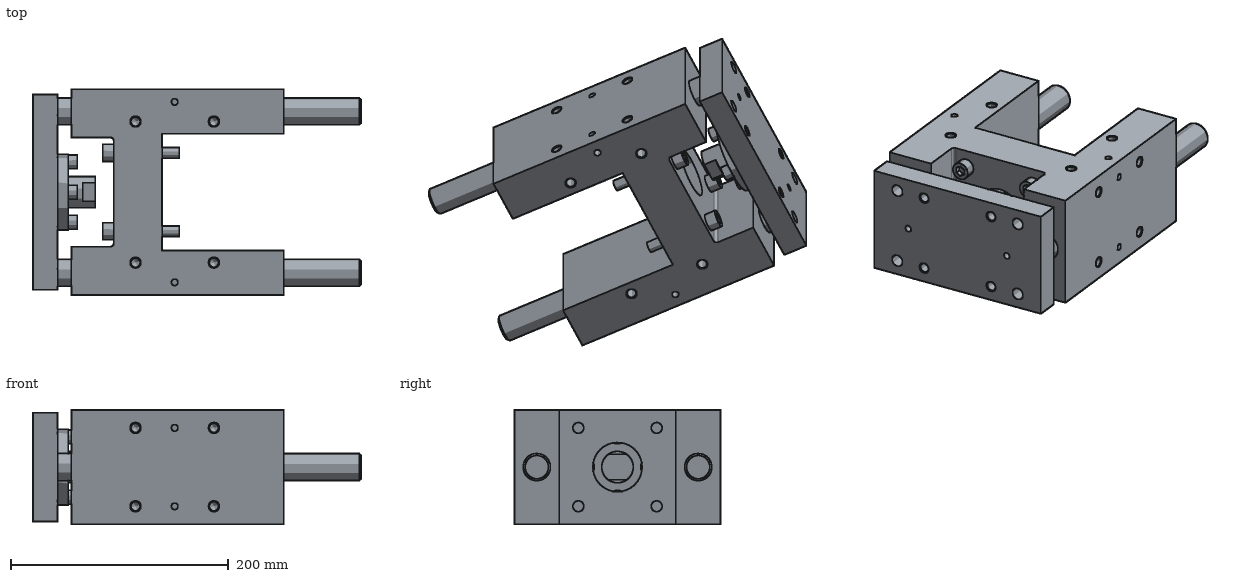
import cadquery as cq
import math


total_length = 301.0
housing_width = 189.0
housing_height = 105.0

housing_start = 35.2
housing_length = 195.0
front_gap_width = 100.0
rear_gap_width = 107.0
web_start = 74.0
web_end = 118.5
gap_fillet = 3.0
web_bore_diameter = 45.0

bolt_pitch = 72.0
tap_diameter = 8.5
tap_mouth_diameter = 10.0
countersink_angle = 90.0
tap_depth = 20.0
drill_tip_angle = 118.0
dowel_diameter = 6.0
dowel_depth = 10.0
dowel_x = 130.0
bolt_offset = bolt_pitch / 2
bolt_columns = [dowel_x - bolt_offset, dowel_x + bolt_offset]
top_bolt_y = 64.7
top_dowel_y = 82.8

screw_diameter = 10.0
screw_head_diameter = 16.0
screw_head_length = 10.2
screw_projection = 15.7
socket_across_flats = 8.5
socket_depth = 5.0

plate_thickness = 22.5
plate_width = 179.5
plate_height = 100.0
plate_hole_diameter = 11.0
plate_hole_y = 64.7
plate_dowel_y = 53.0

rod_diameter = 25.0
rod_length = total_length - plate_thickness
rod_y = 74.0
rod_chamfer = 1.8

flange_diameter = 69.8
flange_thickness = 10.0
flange_head_diameter = 13.0
flange_head_length = 8.0
flange_head_count = 4
flange_bolt_radius = 27.7
hub_diameter = 29.0
hub_end = 57.2
hub_across_flats = 23.5
hub_flat_length = 11.7

BOTH_SIDES = (-1, 1)


def x_cylinder(diameter, start, length, y=0.0, z=0.0):
    """Cylinder along +X."""
    return cq.Workplane("YZ", origin=(start, y, z)).circle(diameter / 2).extrude(length)


def corners(y, z):
    """Four points mirrored about both centre planes."""
    return [(sy * y, sz * z) for sy in BOTH_SIDES for sz in BOTH_SIDES]


def tapped_hole(mouth, direction):
    """Cutter for a blind tapped hole: countersunk mouth, bore and drill tip."""
    bore_radius = tap_diameter / 2
    mouth_radius = tap_mouth_diameter / 2
    mouth_depth = (mouth_radius - bore_radius) / math.tan(math.radians(countersink_angle / 2))
    tip_length = bore_radius / math.tan(math.radians(drill_tip_angle / 2))
    profile = [
        (0, 0),
        (mouth_radius, 0),
        (bore_radius, mouth_depth),
        (bore_radius, tap_depth),
        (0, tap_depth + tip_length),
    ]
    across = (0, 0, 1) if direction[2] == 0 else (1, 0, 0)
    normal = cq.Vector(*across).cross(cq.Vector(*direction))
    plane = cq.Plane(origin=mouth, xDir=across, normal=normal)
    return cq.Workplane(plane).polyline(profile).close().revolve(360, (0, 0), (0, 1))


def dowel_hole(mouth, direction):
    """Cutter for a blind flat-bottomed dowel hole."""
    plane = cq.Plane(origin=mouth, normal=direction)
    return cq.Workplane(plane).circle(dowel_diameter / 2).extrude(dowel_depth)


def housing_block():
    """Two long arms joined by a web with a central bore."""
    housing_end = housing_start + housing_length
    block = cq.Workplane("XY").box(housing_length, housing_width, housing_height)
    block = block.translate((housing_start + housing_length / 2, 0, 0))
    front_gap = (
        cq.Workplane("XY")
        .box(web_start - housing_start, front_gap_width, housing_height)
        .edges("|Z and >X")
        .fillet(gap_fillet)
        .translate(((housing_start + web_start) / 2, 0, 0))
    )
    rear_gap = (
        cq.Workplane("XY")
        .box(housing_end - web_end, rear_gap_width, housing_height)
        .translate(((housing_end + web_end) / 2, 0, 0))
    )
    bore = x_cylinder(web_bore_diameter, web_start, web_end - web_start)
    return block.cut(front_gap).cut(rear_gap).cut(bore)


def web_screw(y, z):
    """Socket-head screw with its head on the front of the web."""
    head_start = web_start - screw_head_length
    head = x_cylinder(screw_head_diameter, head_start, screw_head_length, y, z)
    shank = x_cylinder(screw_diameter, web_start, web_end - web_start + screw_projection, y, z)
    socket = (
        cq.Workplane("YZ", origin=(head_start, y, z))
        .polygon(6, socket_across_flats, circumscribed=True)
        .extrude(socket_depth)
    )
    return head.cut(socket).union(shank)


def drill_side_faces(body):
    """Two tapped holes and a dowel hole in each row of each side face."""
    for side, level in corners(1, 1):
        y = side * housing_width / 2
        z = level * bolt_offset
        inward = (0, -side, 0)
        for x in bolt_columns:
            body = body.cut(tapped_hole((x, y, z), inward))
        body = body.cut(dowel_hole((dowel_x, y, z), inward))
    return body


def drill_top_and_bottom(body):
    """Two tapped holes and a dowel hole per arm, in the top and bottom faces."""
    for side, level in corners(1, 1):
        z = level * housing_height / 2
        inward = (0, 0, -level)
        for x in bolt_columns:
            body = body.cut(tapped_hole((x, side * top_bolt_y, z), inward))
        body = body.cut(dowel_hole((dowel_x, side * top_dowel_y, z), inward))
    return body


def make_housing():
    """Housing with its mounting holes, rod bores and web screws."""
    body = drill_top_and_bottom(drill_side_faces(housing_block()))
    for side in BOTH_SIDES:
        body = body.cut(x_cylinder(rod_diameter, housing_start, housing_length, side * rod_y))
    for y, z in corners(bolt_offset, bolt_offset):
        body = body.union(web_screw(y, z))
    return body


def make_plate():
    """Front plate with clearance holes, countersunk tapped holes and blind dowel holes."""
    plate = cq.Workplane("XY").box(plate_thickness, plate_width, plate_height)
    plate = plate.translate((plate_thickness / 2, 0, 0))
    for y, z in corners(plate_hole_y, bolt_offset):
        plate = plate.cut(x_cylinder(plate_hole_diameter, 0, plate_thickness, y, z))
    plate = (
        plate.faces("<X")
        .workplane(origin=(0, 0, 0))
        .pushPoints(corners(bolt_offset, bolt_offset))
        .cskHole(tap_diameter, tap_mouth_diameter, countersink_angle)
    )
    for side in BOTH_SIDES:
        plate = plate.cut(dowel_hole((0, side * plate_dowel_y, 0), (1, 0, 0)))
    return plate


def make_coupling():
    """Round flange with four screw heads and a hub with two wrench flats."""
    flange_end = plate_thickness + flange_thickness
    coupling = x_cylinder(flange_diameter, plate_thickness, flange_thickness)
    hub = x_cylinder(hub_diameter, flange_end, hub_end - flange_end)
    flat_offset = (hub_across_flats + hub_diameter) / 2
    for side in BOTH_SIDES:
        flat = (
            cq.Workplane("XY")
            .box(hub_flat_length, hub_diameter, hub_diameter)
            .translate((hub_end - hub_flat_length / 2, 0, side * flat_offset))
        )
        hub = hub.cut(flat)
    coupling = coupling.union(hub)
    for index in range(flange_head_count):
        angle = index * 2 * math.pi / flange_head_count
        y = flange_bolt_radius * math.cos(angle)
        z = flange_bolt_radius * math.sin(angle)
        head = x_cylinder(flange_head_diameter, flange_end, flange_head_length, y, z)
        coupling = coupling.union(head)
    return coupling


def make_carriage():
    """Front plate with the coupling and both guide rods fixed to it."""
    body = make_plate().union(make_coupling())
    for side in BOTH_SIDES:
        rod = x_cylinder(rod_diameter, plate_thickness, rod_length, side * rod_y)
        body = body.union(rod.faces(">X").chamfer(rod_chamfer))
    return body


housing = make_housing()
carriage = make_carriage()
result = cq.Compound.makeCompound([housing.solids().val(), carriage.solids().val()])